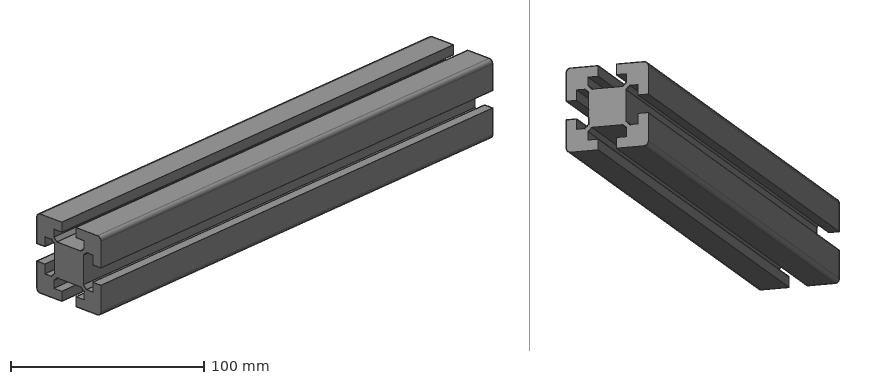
import cadquery as cq

length = 300.0
width = 45.0
corner_radius = 2.5

slot_opening = 10.0
lip_thickness = 5.7
core_width = 20.5
slot_inner_width = 21.0
floor_chamfer = 2.0

half_width = width / 2
slot_depth = (width - core_width) / 2
slot_sides = 4


def make_bar():
    """Solid square bar along Y with rounded long edges."""
    bar = cq.Workplane("XY").box(width, length, width)
    return bar.edges("|Y").fillet(corner_radius)


def make_slot():
    """T-slot cutter for the top side: a narrow mouth over a wider channel."""
    channel_height = slot_depth - lip_thickness
    floor = half_width - slot_depth
    mouth = cq.Workplane("XY").box(slot_opening, length, slot_depth, centered=(True, True, False))
    channel = cq.Workplane("XY").box(slot_inner_width, length, channel_height, centered=(True, True, False))
    channel = channel.edges("|Y and <Z").chamfer(floor_chamfer)
    return mouth.union(channel).translate((0, 0, floor))


result = make_bar()
slot = make_slot()
for side in range(slot_sides):
    angle = side * 360 / slot_sides
    result = result.cut(slot.rotate((0, 0, 0), (0, 1, 0), angle))